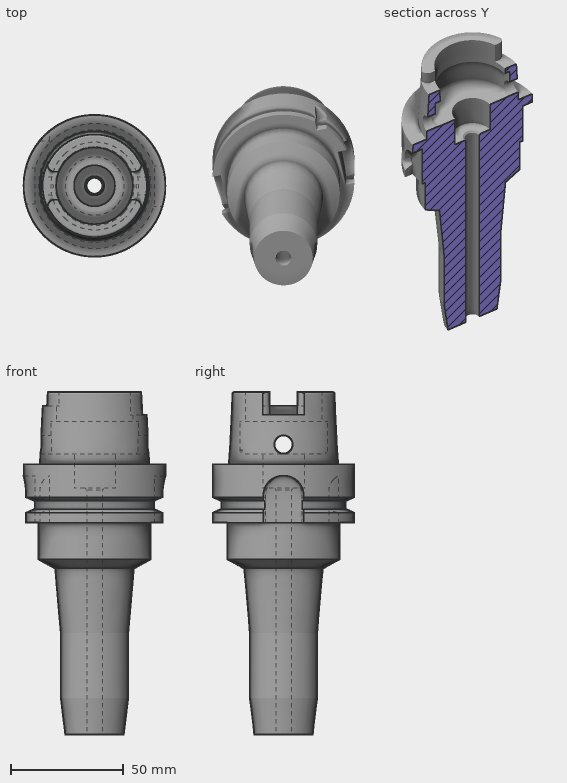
import cadquery as cq
import math


SHANK_LENGTH = 32.0
GAUGE_DIAMETER = 48.0
GAUGE_HEIGHT = 6.3
TAPER_RATIO = 1 / 10
RIM_FILLET = 1.0

BORE_DIAMETER = 34.0
UNDERCUT_DIAMETER = 39.0
UNDERCUT_TOP = 19.0
BORE_FLOOR = 4.5
BORE_FLOOR_FILLET = 2.0

TUBE_SEAT_DIAMETER = 18.2
TUBE_SEAT_DEPTH = 15.0
COOLANT_DIAMETER = 7.0
COOLANT_CHAMFER = 0.8

NOTCH_WIDTH = 12.4
NOTCH_FLARE_RADIUS = 3.0
NOTCH_DEPTH_MINUS_X = 6.0
NOTCH_DEPTH_PLUS_X = 10.0

CROSS_HOLE_DIAMETER = 8.0
CROSS_HOLE_HEIGHT = 8.7

FLANGE_DIAMETER = 63.0
FLANGE_LENGTH = 26.0
GROOVE_DIAMETER = 55.5
GROOVE_CENTRE = 18.13
GROOVE_FLOOR_WIDTH = 3.6
GROOVE_MOUTH_WIDTH = 7.0

KEYWAY_FLOOR = 26.5
KEYWAY_WIDTH_MINUS_X = 16.0
KEYWAY_WIDTH_PLUS_X = 18.0
KEYWAY_TOP = 5.1

ORIENTATION_FLOOR = 20.0
ORIENTATION_WALL = 20.0
ORIENTATION_RADIUS = 7.5
ORIENTATION_ARC_CENTRE = 11.9

HUB_DIAMETER = 50.0
HUB_END = 42.2
NECK_DIAMETER = 35.0
NECK_START = 46.3
BARREL_DIAMETER = 30.0
BARREL_START = 75.0
BARREL_END = 103.7
NOSE_DIAMETER = 26.0
BODY_LENGTH = 120.0


def shank_radius(height):
    return (GAUGE_DIAMETER - (height - GAUGE_HEIGHT) * TAPER_RATIO) / 2


def revolve(points):
    return cq.Workplane("XZ").polyline(points).close().revolve(360, (0, 0), (0, 1))


def outer_body():
    flange = FLANGE_DIAMETER / 2
    groove = GROOVE_DIAMETER / 2
    half_mouth = GROOVE_MOUTH_WIDTH / 2
    half_floor = GROOVE_FLOOR_WIDTH / 2
    body = revolve([
        (0, SHANK_LENGTH),
        (shank_radius(SHANK_LENGTH), SHANK_LENGTH),
        (shank_radius(0), 0),
        (flange, 0),
        (flange, -GROOVE_CENTRE + half_mouth),
        (groove, -GROOVE_CENTRE + half_floor),
        (groove, -GROOVE_CENTRE - half_floor),
        (flange, -GROOVE_CENTRE - half_mouth),
        (flange, -FLANGE_LENGTH),
        (HUB_DIAMETER / 2, -FLANGE_LENGTH),
        (HUB_DIAMETER / 2, -HUB_END),
        (NECK_DIAMETER / 2, -NECK_START),
        (BARREL_DIAMETER / 2, -BARREL_START),
        (BARREL_DIAMETER / 2, -BARREL_END),
        (NOSE_DIAMETER / 2, -BODY_LENGTH),
        (0, -BODY_LENGTH),
    ])
    return body.faces(">Z").edges().fillet(RIM_FILLET)


def cylinder(diameter, bottom, top):
    return cq.Workplane("XY", origin=(0, 0, bottom)).circle(diameter / 2).extrude(top - bottom)


def axial_passages():
    seat_floor = BORE_FLOOR - TUBE_SEAT_DEPTH
    bore = cylinder(BORE_DIAMETER, UNDERCUT_TOP, SHANK_LENGTH)
    undercut = cylinder(UNDERCUT_DIAMETER, BORE_FLOOR, UNDERCUT_TOP)
    undercut = undercut.faces("<Z").edges().fillet(BORE_FLOOR_FILLET)
    tube_seat = cylinder(TUBE_SEAT_DIAMETER, seat_floor, BORE_FLOOR)
    coolant = cylinder(COOLANT_DIAMETER, -BODY_LENGTH, seat_floor)
    passages = bore.union(undercut).union(tube_seat).union(coolant)
    countersink_radius = COOLANT_DIAMETER / 2 + COOLANT_CHAMFER
    countersink = revolve([
        (0, seat_floor),
        (countersink_radius, seat_floor),
        (COOLANT_DIAMETER / 2, seat_floor - COOLANT_CHAMFER),
        (0, seat_floor - COOLANT_CHAMFER),
    ])
    return passages.union(countersink)


def drive_notch(side, depth):
    """Rim notch on the +X (side=1) or -X (side=-1) side, flaring outward through rounded corners."""
    half_width = NOTCH_WIDTH / 2
    flared = half_width + NOTCH_FLARE_RADIUS
    flare_end = math.sqrt(shank_radius(SHANK_LENGTH) ** 2 - flared ** 2)
    flare_start = flare_end - NOTCH_FLARE_RADIUS
    diagonal = NOTCH_FLARE_RADIUS * math.sqrt(0.5)
    flare_mid_x = flare_start + diagonal
    flare_mid_y = flared - diagonal
    outside = FLANGE_DIAMETER / 2
    return (
        cq.Workplane("XY", origin=(0, 0, SHANK_LENGTH - depth))
        .moveTo(0, -half_width)
        .lineTo(side * flare_start, -half_width)
        .threePointArc((side * flare_mid_x, -flare_mid_y), (side * flare_end, -flared))
        .lineTo(side * outside, -flared)
        .lineTo(side * outside, flared)
        .lineTo(side * flare_end, flared)
        .threePointArc((side * flare_mid_x, flare_mid_y), (side * flare_start, half_width))
        .lineTo(0, half_width)
        .close()
        .extrude(depth)
    )


def round_topped_slot(floor_x, centre_y, radius, arc_centre):
    """Cutter running outward along X from floor_x, open at the lower flange face."""
    outward = math.copysign(FLANGE_DIAMETER / 2, floor_x)
    return (
        cq.Workplane("YZ", origin=(floor_x, centre_y, 0))
        .moveTo(-radius, -FLANGE_LENGTH)
        .lineTo(-radius, arc_centre)
        .threePointArc((0, arc_centre + radius), (radius, arc_centre))
        .lineTo(radius, -FLANGE_LENGTH)
        .close()
        .extrude(outward)
    )


def keyway(side, width):
    """Flat-floored, round-topped keyway in the flange rim."""
    radius = width / 2
    return round_topped_slot(side * KEYWAY_FLOOR, 0, radius, -KEYWAY_TOP - radius)


def orientation_notch():
    """Round-topped notch whose outer half runs out through the flange rim."""
    centre_y = ORIENTATION_WALL + ORIENTATION_RADIUS
    return round_topped_slot(-ORIENTATION_FLOOR, centre_y, ORIENTATION_RADIUS, -ORIENTATION_ARC_CENTRE)


def cross_hole():
    return (
        cq.Workplane("YZ", origin=(0, 0, CROSS_HOLE_HEIGHT))
        .circle(CROSS_HOLE_DIAMETER / 2)
        .extrude(FLANGE_DIAMETER / 2, both=True)
    )


result = (
    outer_body()
    .cut(axial_passages())
    .cut(drive_notch(-1, NOTCH_DEPTH_MINUS_X))
    .cut(drive_notch(1, NOTCH_DEPTH_PLUS_X))
    .cut(keyway(-1, KEYWAY_WIDTH_MINUS_X))
    .cut(keyway(1, KEYWAY_WIDTH_PLUS_X))
    .cut(orientation_notch())
    .cut(cross_hole())
)